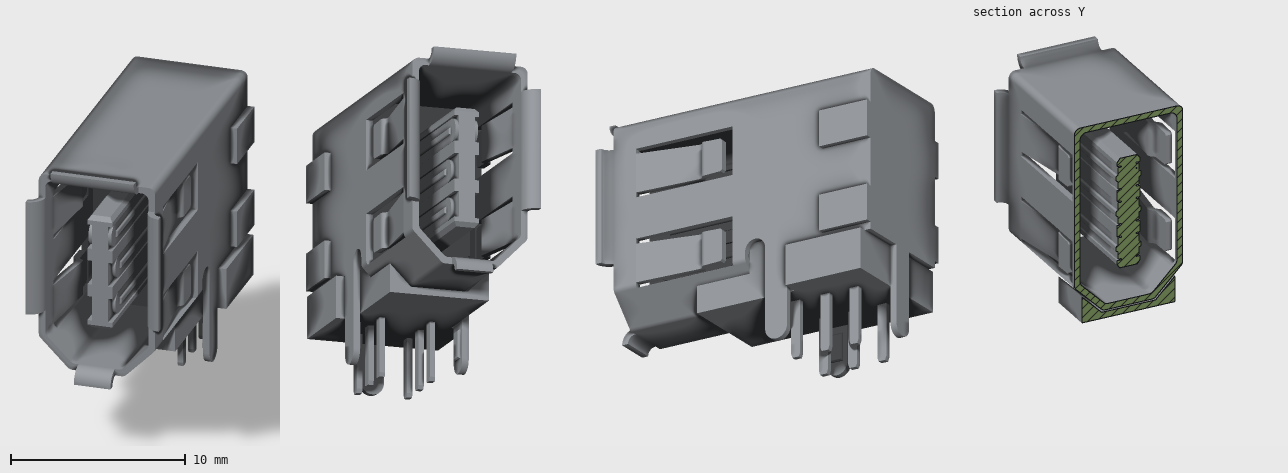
import cadquery as cq
import math


OVERLAP = 0.05

SHEET = 0.4
SHELL_WIDTH = 7.0
SHELL_LENGTH = 17.3
SHELL_BOTTOM = 0.5
SHELL_TOP = 12.55
BOTTOM_CHAMFER = 1.85
BEND_RADIUS = 0.4
WALL_X = SHELL_WIDTH / 2
INNER_X = WALL_X - SHEET
SIDE_WALL_END_Z = 2.5

LIP_INNER_RADIUS = 0.5
LIP_OUTER_RADIUS = LIP_INNER_RADIUS + SHEET
TOP_LIP_WIDTH = 5.0
BOTTOM_LIP_WIDTH = 2.2
SIDE_LIP_HEIGHT = 7.05
SIDE_LIP_CENTER_Z = 7.55

WINDOW_FRONT = 1.5
WINDOW_REAR = 8.0
WINDOW_HEIGHT = 3.0
WINDOW_CENTERS_Z = (3.75, 9.31)
LEAF_TIP_Y = 7.2
LEAF_ROOT_HEIGHT = 2.4
LEAF_TIP_HEIGHT = 2.02
LEAF_TIP_CHAMFER = 0.12
LEAF_DEFLECTION = 0.47
LEAF_BEND_START = 5.5
LEAF_BEND_END = 6.0
LEAF_BEND_JOG = 0.3

LEG_FRONT = 10.2
LEG_WIDTH = 1.47
LEG_TIP_Z = -2.93
LEG_REAR = LEG_FRONT + LEG_WIDTH
SLOT_WIDTH = 1.35
SLOT_FRONT = LEG_FRONT - SLOT_WIDTH
SLOT_TOP = 3.54
REAR_LEG_WIDTH = 1.4
BUMP_DEPTH = 0.15
BUMP_TOP = -0.4
BUMP_HEIGHT = 1.7
BUMP_WIDTH = 0.9
BUMP_CHAMFER = 0.08

TAB_LENGTH = 3.23
TAB_HEIGHT = 2.22
TAB_BOTTOMS_Z = (2.93, 8.14)

BODY_FRONT = SLOT_FRONT
BODY_REAR = SHELL_LENGTH - SHEET
BASE_X = 3.0
FOOT_FRONT = 5.3
FOOT_SHOULDER_Z = 1.69
FOOT_RECESS_Z = 0.42
WING_X = 3.97
WING_FRONT = 11.85
WING_HEIGHT = SIDE_WALL_END_Z

TONGUE_FRONT = 0.55
TONGUE_THICKNESS = 1.5
TONGUE_HEIGHT = 7.05
TONGUE_CENTER_Z = 6.5
TONGUE_CORNER_X = 0.2
TONGUE_BEVEL = 0.25
CONTACT_PITCH = 2.25
GROOVE_HEIGHT = 1.5
GROOVE_FLOOR_X = 0.48
CONTACT_FACE_X = 0.69
CONTACT_WIDTH = 1.4
CONTACT_SETBACKS = (0.75, 0.75, 0.0)
RIDGE_FACE_X = 0.81
RIDGE_WIDTH = 0.4
RIDGE_SETBACK = 0.8
RIDGE_ROUNDING = 0.1

PIN_X = 1.52
PIN_THICKNESS = 0.33
PIN_WIDTH = 0.6
PIN_TIP_Z = -3.5
PIN_ROWS_Y = (11.13, 13.1, 15.06)
PIN_TIP_INSET = 0.08
PIN_TIP_LENGTH = 0.24


def box(x_range, y_range, z_range):
    """Axis-aligned block between the given limits."""
    size = [high - low for low, high in (x_range, y_range, z_range)]
    corner = (x_range[0], y_range[0], z_range[0])
    return cq.Workplane("XY").box(*size, centered=False).translate(corner)


def both_sides(right_half):
    """The given shape together with its mirror image in X."""
    return right_half.union(right_half.mirror("YZ"))


def extrude_xz(outline, y_front, y_rear):
    """Extrude an outline drawn in X and Z from one Y to another."""
    sketch = cq.Workplane("XZ", origin=(0, y_front, 0)).polyline(outline).close()
    return sketch.extrude(y_front - y_rear)


def side_profile(x_start):
    """Workplane whose local axes are Y and Z, facing +X."""
    return cq.Workplane("YZ", origin=(x_start, 0, 0))


def shell_section(inset, y_rear):
    """Solid prism of the shell outline, moved inwards by the inset."""
    half = WALL_X - inset
    bottom = SHELL_BOTTOM + inset
    top = SHELL_TOP - inset
    chamfer = BOTTOM_CHAMFER - inset * (2 - math.sqrt(2))
    outline = [
        (-half, top),
        (half, top),
        (half, bottom + chamfer),
        (half - chamfer, bottom),
        (-half + chamfer, bottom),
        (-half, bottom + chamfer),
    ]
    return extrude_xz(outline, 0, y_rear).edges("|Y").fillet(BEND_RADIUS)


def make_tube():
    """Shell sleeve, with its underside and lower walls cut away behind the mouth."""
    tube = shell_section(0, SHELL_LENGTH).cut(shell_section(SHEET, SHELL_LENGTH))
    full_width = (-WALL_X, WALL_X)
    underside = (0, SIDE_WALL_END_Z)
    tube = tube.cut(box(full_width, (SLOT_FRONT, SHELL_LENGTH), underside))
    slot = (
        side_profile(-WALL_X)
        .moveTo(SLOT_FRONT, 0)
        .lineTo(SLOT_FRONT, SLOT_TOP - SLOT_WIDTH / 2)
        .threePointArc(
            (SLOT_FRONT + SLOT_WIDTH / 2, SLOT_TOP),
            (LEG_FRONT, SLOT_TOP - SLOT_WIDTH / 2),
        )
        .lineTo(LEG_FRONT, 0)
        .close()
        .extrude(SHELL_WIDTH)
    )
    tube = tube.cut(slot)
    for center_z in WINDOW_CENTERS_Z:
        z_range = (center_z - WINDOW_HEIGHT / 2, center_z + WINDOW_HEIGHT / 2)
        tube = tube.cut(box(full_width, (WINDOW_FRONT, WINDOW_REAR), z_range))
    return tube


def make_lip(outward, center, width):
    """Quarter-round lip curling outwards from the shell face at the given point."""
    normal = cq.Vector(*outward).cross(cq.Vector(0, 1, 0))
    plane = cq.Plane(origin=center, xDir=outward, normal=normal)
    diagonal = math.sqrt(0.5)
    inner_mid = LIP_INNER_RADIUS * diagonal
    outer_mid = LIP_OUTER_RADIUS * diagonal
    return (
        cq.Workplane(plane)
        .moveTo(0, OVERLAP)
        .lineTo(0, 0)
        .threePointArc((LIP_INNER_RADIUS - inner_mid, -inner_mid), (LIP_INNER_RADIUS, -LIP_INNER_RADIUS))
        .lineTo(LIP_INNER_RADIUS, -LIP_OUTER_RADIUS)
        .threePointArc((LIP_INNER_RADIUS - outer_mid, -outer_mid), (-SHEET, 0))
        .lineTo(-SHEET, OVERLAP)
        .close()
        .extrude(width / 2, both=True)
    )


def make_lips():
    """Lips on all four sides of the mouth."""
    top = make_lip((0, 0, 1), (0, 0, SHELL_TOP), TOP_LIP_WIDTH)
    bottom = make_lip((0, 0, -1), (0, 0, SHELL_BOTTOM), BOTTOM_LIP_WIDTH)
    side = make_lip((1, 0, 0), (WALL_X, 0, SIDE_LIP_CENTER_Z), SIDE_LIP_HEIGHT)
    return top.union(bottom).union(both_sides(side))


def make_leaf(center_z):
    """Right-hand spring leaf: slopes inwards from its root, then jogs out to a flat tip."""
    valley_x = WALL_X - LEAF_DEFLECTION
    tip_x = valley_x + LEAF_BEND_JOG
    bend_mid = ((valley_x + tip_x) / 2, (LEAF_BEND_START + LEAF_BEND_END) / 2)
    half_length = (LEAF_BEND_END - LEAF_BEND_START) / 2
    half_jog = LEAF_BEND_JOG / 2
    bend_radius = (half_length**2 + half_jog**2) / (2 * half_jog)
    strip = (
        cq.Workplane("XY")
        .moveTo(WALL_X, WINDOW_FRONT - OVERLAP)
        .lineTo(WALL_X, WINDOW_FRONT)
        .lineTo(valley_x, LEAF_BEND_START)
        .radiusArc(bend_mid, bend_radius)
        .radiusArc((tip_x, LEAF_BEND_END), -bend_radius)
        .lineTo(tip_x, LEAF_TIP_Y)
        .lineTo(tip_x - SHEET, LEAF_TIP_Y)
        .lineTo(tip_x - SHEET, LEAF_BEND_END)
        .radiusArc((bend_mid[0] - SHEET, bend_mid[1]), bend_radius)
        .radiusArc((valley_x - SHEET, LEAF_BEND_START), -bend_radius)
        .lineTo(INNER_X, WINDOW_FRONT)
        .lineTo(INNER_X, WINDOW_FRONT - OVERLAP)
        .close()
        .extrude(SHELL_TOP)
    )
    root = LEAF_ROOT_HEIGHT / 2
    tip = LEAF_TIP_HEIGHT / 2
    chamfer = LEAF_TIP_CHAMFER
    taper = [
        (WINDOW_FRONT - OVERLAP, center_z - root),
        (LEAF_TIP_Y - chamfer, center_z - tip),
        (LEAF_TIP_Y, center_z - tip + chamfer),
        (LEAF_TIP_Y, center_z + tip - chamfer),
        (LEAF_TIP_Y - chamfer, center_z + tip),
        (WINDOW_FRONT - OVERLAP, center_z + root),
    ]
    return strip.intersect(side_profile(0).polyline(taper).close().extrude(WALL_X))


def make_side_leg():
    """Right-hand ground leg with a round tip and a retention bump on its inner face."""
    radius = LEG_WIDTH / 2
    middle_y = LEG_FRONT + radius
    leg = (
        side_profile(INNER_X)
        .moveTo(LEG_FRONT, SIDE_WALL_END_Z + OVERLAP)
        .lineTo(LEG_FRONT, LEG_TIP_Z + radius)
        .threePointArc((middle_y, LEG_TIP_Z), (LEG_REAR, LEG_TIP_Z + radius))
        .lineTo(LEG_REAR, SIDE_WALL_END_Z + OVERLAP)
        .close()
        .extrude(SHEET)
    )
    bump = box(
        (INNER_X - BUMP_DEPTH, INNER_X + OVERLAP),
        (middle_y - BUMP_WIDTH / 2, middle_y + BUMP_WIDTH / 2),
        (BUMP_TOP - BUMP_HEIGHT, BUMP_TOP),
    )
    return leg.union(bump.faces("<X").chamfer(BUMP_CHAMFER))


def make_rear_plate():
    """Plate closing the shell, with a ground leg below and tabs folded onto the walls."""
    plate = shell_section(0, SHELL_LENGTH)
    plate = plate.intersect(
        box((-WALL_X, WALL_X), (BODY_REAR, SHELL_LENGTH), (SIDE_WALL_END_Z, SHELL_TOP))
    )
    radius = REAR_LEG_WIDTH / 2
    leg = (
        cq.Workplane("XZ", origin=(0, SHELL_LENGTH, 0))
        .moveTo(-radius, SIDE_WALL_END_Z + OVERLAP)
        .lineTo(-radius, LEG_TIP_Z + radius)
        .threePointArc((0, LEG_TIP_Z), (radius, LEG_TIP_Z + radius))
        .lineTo(radius, SIDE_WALL_END_Z + OVERLAP)
        .close()
        .extrude(SHEET)
    )
    plate = plate.union(leg)
    for bottom_z in TAB_BOTTOMS_Z:
        tab = box(
            (WALL_X - OVERLAP, WALL_X + SHEET),
            (SHELL_LENGTH - TAB_LENGTH, SHELL_LENGTH),
            (bottom_z, bottom_z + TAB_HEIGHT),
        )
        plate = plate.union(both_sides(tab))
    return plate


def make_insulator():
    """Insulator filling the rear of the shell, with base, wings and a foot under the shell."""
    core = shell_section(SHEET, BODY_REAR + OVERLAP).intersect(
        box((-INNER_X, INNER_X), (BODY_FRONT, BODY_REAR + OVERLAP), (SLOT_TOP, SHELL_TOP))
    )
    base = box((-BASE_X, BASE_X), (BODY_FRONT, BODY_REAR), (0, SLOT_TOP + OVERLAP))
    wings = box((-WING_X, WING_X), (WING_FRONT, BODY_REAR), (0, WING_HEIGHT))
    recess_x = BASE_X - (FOOT_SHOULDER_Z - FOOT_RECESS_Z)
    foot_outline = [
        (-BASE_X, 0),
        (BASE_X, 0),
        (BASE_X, FOOT_SHOULDER_Z),
        (recess_x, FOOT_RECESS_Z),
        (-recess_x, FOOT_RECESS_Z),
        (-BASE_X, FOOT_SHOULDER_Z),
    ]
    foot = extrude_xz(foot_outline, FOOT_FRONT, BODY_FRONT + OVERLAP)
    return core.union(base).union(wings).union(foot)


def make_tongue():
    """Tongue blade with bevelled long edges and a bevelled tip, grooved for the contacts."""
    half_x = TONGUE_THICKNESS / 2
    half_z = TONGUE_HEIGHT / 2
    rear = BODY_FRONT + OVERLAP
    shoulder_z = half_z - TONGUE_BEVEL
    corner_x = half_x - TONGUE_CORNER_X
    section = [
        (half_x, shoulder_z),
        (corner_x, half_z),
        (-corner_x, half_z),
        (-half_x, shoulder_z),
        (-half_x, -shoulder_z),
        (-corner_x, -half_z),
        (corner_x, -half_z),
        (half_x, -shoulder_z),
    ]
    tip = [
        (TONGUE_FRONT, shoulder_z),
        (TONGUE_FRONT + TONGUE_BEVEL, half_z),
        (rear, half_z),
        (rear, -half_z),
        (TONGUE_FRONT + TONGUE_BEVEL, -half_z),
        (TONGUE_FRONT, -shoulder_z),
    ]
    blade = extrude_xz(section, TONGUE_FRONT, rear)
    blade = blade.intersect(side_profile(-half_x).polyline(tip).close().extrude(TONGUE_THICKNESS))
    for row in (-1, 0, 1):
        middle_z = row * CONTACT_PITCH
        groove = box(
            (GROOVE_FLOOR_X, half_x),
            (TONGUE_FRONT, BODY_FRONT),
            (middle_z - GROOVE_HEIGHT / 2, middle_z + GROOVE_HEIGHT / 2),
        )
        blade = blade.cut(both_sides(groove))
    return blade.translate((0, 0, TONGUE_CENTER_Z))


def make_contact(front_y, center_z):
    """Right-hand contact strip with a round front end and a raised centre ridge."""
    radius = CONTACT_WIDTH / 2
    strip = (
        side_profile(GROOVE_FLOOR_X - OVERLAP)
        .moveTo(BODY_FRONT + OVERLAP, center_z - radius)
        .lineTo(front_y + radius, center_z - radius)
        .threePointArc((front_y, center_z), (front_y + radius, center_z + radius))
        .lineTo(BODY_FRONT + OVERLAP, center_z + radius)
        .close()
        .extrude(CONTACT_FACE_X - GROOVE_FLOOR_X + OVERLAP)
    )
    ridge = box(
        (CONTACT_FACE_X - OVERLAP, RIDGE_FACE_X),
        (front_y + RIDGE_SETBACK, BODY_FRONT + OVERLAP),
        (center_z - RIDGE_WIDTH / 2, center_z + RIDGE_WIDTH / 2),
    )
    return strip.union(ridge.edges(">X and (not >Y)").fillet(RIDGE_ROUNDING))


def make_contacts():
    """Three contacts on each side of the tongue."""
    contacts = cq.Workplane("XY")
    for index, setback in enumerate(CONTACT_SETBACKS):
        center_z = TONGUE_CENTER_Z + (index - 1) * CONTACT_PITCH
        contacts = contacts.add(both_sides(make_contact(TONGUE_FRONT + setback, center_z)))
    return contacts.combine()


def make_pin(center_y):
    """Right-hand solder pin with a narrowed tip."""
    half = PIN_WIDTH / 2
    shoulder_z = PIN_TIP_Z + PIN_TIP_LENGTH
    outline = [
        (center_y - half, OVERLAP),
        (center_y - half, shoulder_z),
        (center_y - half + PIN_TIP_INSET, PIN_TIP_Z),
        (center_y + half - PIN_TIP_INSET, PIN_TIP_Z),
        (center_y + half, shoulder_z),
        (center_y + half, OVERLAP),
    ]
    return side_profile(PIN_X - PIN_THICKNESS / 2).polyline(outline).close().extrude(PIN_THICKNESS)


def make_part():
    """The complete connector as one solid."""
    part = make_tube().union(make_lips()).union(make_rear_plate())
    part = part.union(both_sides(make_side_leg()))
    for center_z in WINDOW_CENTERS_Z:
        part = part.union(both_sides(make_leaf(center_z)))
    part = part.union(make_insulator()).union(make_tongue()).union(make_contacts())
    for center_y in PIN_ROWS_Y:
        part = part.union(both_sides(make_pin(center_y)))
    return part


result = make_part()